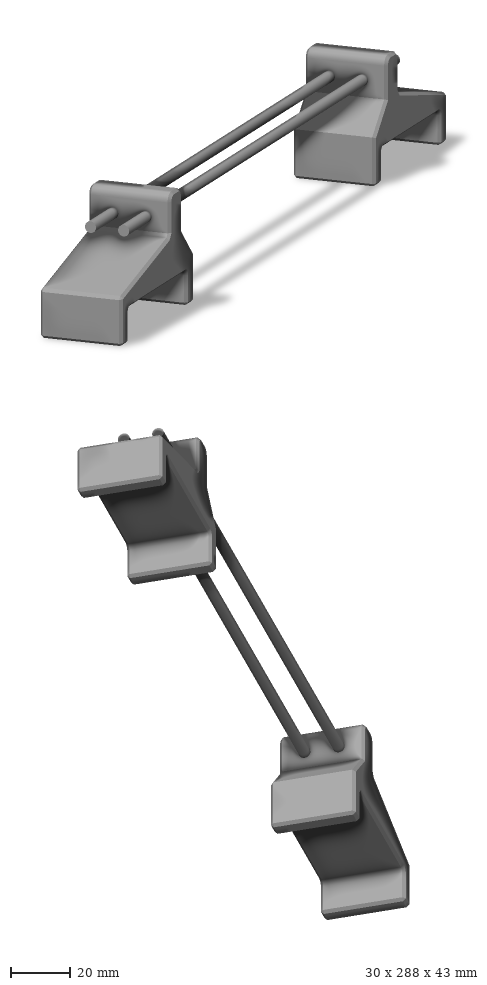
import cadquery as cq

total_length = 288.0
foot_width = 30.0
foot_length = 64.0
foot_height = 43.0

outer_leg_thickness = 6.0
inner_leg_thickness = 6.3
opening_height = 12.0
opening_fillet = 1.5
shoulder_height = 17.3
ramp_top_height = 28.0
post_thickness = 10.5
post_inner_offset = 10.7
post_top_fillet = 3.2
edge_chamfer = 1.0

rod_diameter = 4.0
rod_spacing = 12.0
rod_height = 34.0
rod_length = 240.0
rod_shift = -1.0

outer_end = total_length / 2
inner_end = outer_end - foot_length
post_inner = inner_end + post_inner_offset
post_outer = post_inner + post_thickness
rod_positions = [-rod_spacing / 2, rod_spacing / 2]


def make_rod(x):
    """Round rod along Y, reaching through both posts."""
    rod_end = rod_shift + rod_length / 2
    return (
        cq.Workplane("XZ", origin=(x, rod_end, rod_height))
        .circle(rod_diameter / 2)
        .extrude(rod_length)
    )


def foot_blank():
    """Solid +Y foot without the opening: side profile extruded across X."""
    return (
        cq.Workplane("YZ")
        .moveTo(inner_end, 0)
        .lineTo(outer_end, 0)
        .lineTo(outer_end, shoulder_height)
        .lineTo(post_outer, ramp_top_height)
        .lineTo(post_outer, foot_height)
        .lineTo(post_inner, foot_height)
        .lineTo(post_inner, ramp_top_height)
        .lineTo(inner_end, shoulder_height)
        .close()
        .extrude(foot_width / 2, both=True)
    )


def leg_opening():
    """Gap between the two legs, with rounded upper corners."""
    opening_start = inner_end + inner_leg_thickness
    opening_end = outer_end - outer_leg_thickness
    return (
        cq.Workplane("XY")
        .center(0, (opening_start + opening_end) / 2)
        .rect(foot_width, opening_end - opening_start)
        .extrude(opening_height)
        .edges("|X and >Z")
        .fillet(opening_fillet)
    )


def chamfer_edges(foot):
    """Chamfer the side and bottom edges, and both ends of the long ramp."""
    ramp_end = foot.faces(">Y").edges(">Z").vals()
    ramp_root = foot.edges(cq.selectors.NearestToPointSelector((0, post_outer, ramp_top_height))).vals()
    rims = foot.faces("<X or >X or <Z").edges()
    return rims.add(ramp_end).add(ramp_root).chamfer(edge_chamfer)


def bore_for_rods(foot):
    """Cut the holes that the rods pass through."""
    for x in rod_positions:
        foot = foot.cut(make_rod(x))
    return foot


plain_foot = foot_blank().edges("|X and >Z").fillet(post_top_fillet)
plain_foot = chamfer_edges(plain_foot.cut(leg_opening()))

far_foot = bore_for_rods(plain_foot)
near_foot = bore_for_rods(plain_foot.mirror("XZ"))
rods = [make_rod(x).val() for x in rod_positions]

result = cq.Compound.makeCompound([far_foot.val(), near_foot.val(), *rods])